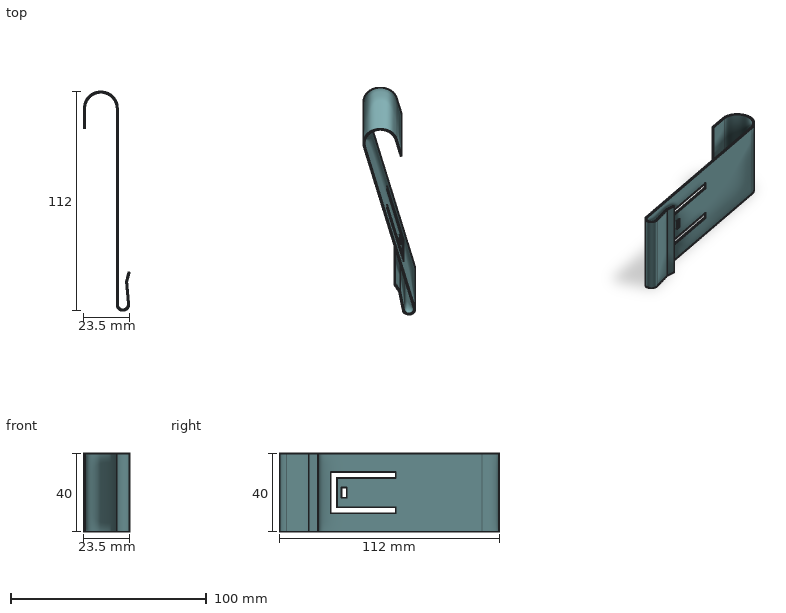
import cadquery as cq
import math

thickness = 0.75
strip_height = 40.0
back_length = 100.0

hook_inner_radius = 8.0
hook_leg_length = 10.0

clip_inner_radius = 2.5
clip_leg_tilt = 5.0
clip_leg_length = 11.5
clip_lip_flare = 15.0
clip_lip_length = 5.0

tongue_length = 30.0
tongue_width = 15.0
slot_width = 3.0
slot_end_from_clip = 23.0
window_length = 2.5
window_height = 5.0
window_to_tongue_end = 2.5

hook_outer_radius = hook_inner_radius + thickness
clip_outer_radius = clip_inner_radius + thickness

back_inner_x = hook_inner_radius
back_outer_x = hook_outer_radius
clip_center = (back_inner_x + clip_outer_radius, -back_length)


def along(point, distance, lean):
    """Move from a point by a distance, leaning by an angle from +Y towards +X."""
    angle = math.radians(lean)
    return (point[0] + distance * math.sin(angle), point[1] + distance * math.cos(angle))


def clip_bend_point(radius):
    """End of the clip bend at a radius, where the tilted leg leaves tangentially."""
    return along(clip_center, radius, 90 - clip_leg_tilt)


def make_strip():
    """Bent strip, extruded symmetrically about the XY plane."""
    leg_lean = -clip_leg_tilt
    lip_lean = clip_lip_flare
    half_turn = (lip_lean - leg_lean) / 2
    miter_length = thickness / math.cos(math.radians(half_turn))

    inner_bend_end = clip_bend_point(clip_inner_radius)
    outer_bend_end = clip_bend_point(clip_outer_radius)
    inner_kink = along(inner_bend_end, clip_leg_length, leg_lean)
    outer_kink = along(inner_kink, miter_length, leg_lean + half_turn + 90)
    inner_tip = along(inner_kink, clip_lip_length, lip_lean)
    outer_tip = along(inner_tip, thickness, lip_lean + 90)
    clip_bottom_inner = along(clip_center, clip_inner_radius, 180)
    clip_bottom_outer = along(clip_center, clip_outer_radius, 180)

    outline = (
        cq.Workplane("XY")
        .moveTo(-hook_outer_radius, -hook_leg_length)
        .lineTo(-hook_outer_radius, 0)
        .threePointArc((0, hook_outer_radius), (back_outer_x, 0))
        .lineTo(back_outer_x, -back_length)
        .threePointArc(clip_bottom_inner, inner_bend_end)
        .lineTo(*inner_kink)
        .lineTo(*inner_tip)
        .lineTo(*outer_tip)
        .lineTo(*outer_kink)
        .lineTo(*outer_bend_end)
        .threePointArc(clip_bottom_outer, (back_inner_x, -back_length))
        .lineTo(back_inner_x, 0)
        .threePointArc((0, hook_inner_radius), (-hook_inner_radius, 0))
        .lineTo(-hook_inner_radius, -hook_leg_length)
        .close()
    )
    return outline.extrude(strip_height / 2, both=True)


def back_block(y_min, length, height):
    """Rectangular block through the back only, centred on Z = 0."""
    block = cq.Workplane("XY").box(thickness, length, height, centered=(False, False, True))
    return block.translate((back_inner_x, y_min, 0))


def make_tongue_cut():
    """U-shaped slot around the tongue plus the window through it."""
    slot_end_y = -back_length + slot_end_from_clip
    tongue_end_y = slot_end_y + slot_width
    opening = back_block(slot_end_y, tongue_length + slot_width, tongue_width + 2 * slot_width)
    tongue = back_block(tongue_end_y, tongue_length, tongue_width)
    window = back_block(tongue_end_y + window_to_tongue_end, window_length, window_height)
    return opening.cut(tongue).union(window)


result = make_strip().cut(make_tongue_cut())